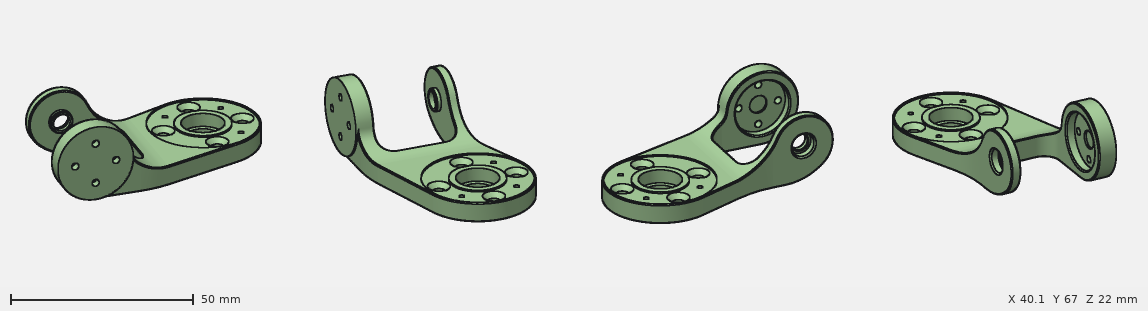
import cadquery as cq
import math


overall_length = 66.95
overall_height = 22.0

flange_radius = 16.0
plate_thickness = 5.8
edge_chamfer = 0.35
left_flank_angle = 21.1
right_flank_angle = 17.2
flank_bend_radius = 30.0

recess_radius = 15.55
recess_depth = 0.5
hub_radius = 8.0
bearing_radius = 6.0
bearing_depth = 3.95
bore_radius = 4.55

bolt_count = 4
bolt_circle_radius = 11.5
bolt_hole_radius = 1.7
countersink_radius = 3.15
countersink_angle = 90
pin_hole_radius = 0.75
pin_angles = (45, 135, 225)

left_ear_outer_x = -7.5
left_ear_thickness = 2.95
right_web_outer_x = 23.6
right_ear_outer_x = 24.05
right_ear_thickness = 5.4
left_ear_inner_x = left_ear_outer_x + left_ear_thickness
right_ear_inner_x = right_ear_outer_x - right_ear_thickness
notch_y = -23.1
notch_corner_radius = 4.5

left_ear_radius = 9.05
right_ear_radius = overall_height / 2
ear_y = flange_radius + right_ear_radius - overall_length
ear_z = right_ear_radius
left_ear_heel_radius = 17.5
rise_start_y = -18.15
rise_radius = 15.0
rise_center = (rise_start_y, plate_thickness + rise_radius)
right_ear_blend_radius = 4.5

boss_radius = 3.3
boss_height = 1.35
boss_chamfer = 0.3
pivot_pocket_radius = 3.35
pivot_pocket_depth = 2.5
pivot_pocket_chamfer = 0.5
pivot_hole_radius = 2.4
pivot_hole_chamfer = 0.3

pocket_radius = 8.2
pocket_depth = 2.75
pocket_chamfer = 0.4
center_hole_radius = 2.6
center_hole_depth = 0.6
ear_hole_count = 4
ear_hole_circle_radius = 5.95
ear_hole_radius = 1.0


def polar(center, radius, angle):
    """Point at an angle in degrees on a circle."""
    turn = math.radians(angle)
    return (center[0] + radius * math.cos(turn), center[1] + radius * math.sin(turn))


def angle_to(start, end):
    """Direction in degrees from one point to another."""
    return math.degrees(math.atan2(end[1] - start[1], end[0] - start[0]))


def arc_to(sketch, center, radius, start_angle, end_angle):
    """Add an arc that begins at the current point of the sketch."""
    middle = polar(center, radius, (start_angle + end_angle) / 2)
    return sketch.threePointArc(middle, polar(center, radius, end_angle))


def flank_start(side, angle):
    """Point where a flank touches the flange; side is -1 for left and 1 for right."""
    return polar((0, 0), flange_radius, angle if side > 0 else 180 + angle)


def flank_corner(start, angle, wall_x):
    """Point where a flank meets the outer wall of an arm."""
    return (wall_x, start[1] - (wall_x - start[0]) / math.tan(math.radians(angle)))


def plan_prism():
    """Outline seen along Z: flange, flanks and the two arms around the notch."""
    left_start = flank_start(-1, left_flank_angle)
    left_corner = flank_corner(left_start, left_flank_angle, left_ear_outer_x)
    right_start = flank_start(1, right_flank_angle)
    right_corner = flank_corner(right_start, right_flank_angle, right_web_outer_x)
    tip_y = ear_y - 2 * right_ear_radius
    height = ear_z + 2 * right_ear_radius
    prism = (
        cq.Workplane("XY")
        .moveTo(*left_start)
        .threePointArc((0, flange_radius), right_start)
        .lineTo(*right_corner)
        .lineTo(right_web_outer_x, tip_y)
        .lineTo(right_ear_inner_x, tip_y)
        .lineTo(right_ear_inner_x, notch_y)
        .lineTo(left_ear_inner_x, notch_y)
        .lineTo(left_ear_inner_x, tip_y)
        .lineTo(left_ear_outer_x, tip_y)
        .lineTo(*left_corner)
        .close()
        .extrude(height)
    )
    rounded = (
        (left_corner, flank_bend_radius),
        (right_corner, flank_bend_radius),
        ((left_ear_inner_x, notch_y), notch_corner_radius),
        ((right_ear_inner_x, notch_y), notch_corner_radius),
    )
    for (x, y), radius in rounded:
        corner = cq.selectors.NearestToPointSelector((x, y, height / 2))
        prism = prism.edges("|Z").edges(corner).fillet(radius)
    return prism


def plate_side():
    """Open start of a side outline: flange end and plate top, up to the rise."""
    return (
        cq.Workplane("YZ")
        .moveTo(flange_radius, 0)
        .lineTo(flange_radius, plate_thickness)
        .lineTo(rise_start_y, plate_thickness)
    )


def left_profile():
    """Side outline (Y, Z) of the plate and the left ear."""
    ear = (ear_y, ear_z)
    heel_y = ear_y + math.sqrt(
        (left_ear_heel_radius - left_ear_radius) ** 2 - (left_ear_heel_radius - ear_z) ** 2
    )
    heel = (heel_y, left_ear_heel_radius)
    rise_end = angle_to(rise_center, ear)
    ear_start = angle_to(ear, rise_center)
    ear_end = angle_to(heel, ear)
    sketch = arc_to(plate_side(), rise_center, rise_radius, -90, rise_end)
    sketch = arc_to(sketch, ear, left_ear_radius, ear_start, ear_end + 360)
    sketch = arc_to(sketch, heel, left_ear_heel_radius, ear_end, -90)
    return sketch.close()


def right_profile():
    """Side outline (Y, Z) of the plate and the right ear."""
    ear = (ear_y, ear_z)
    rise_reach = rise_radius - right_ear_blend_radius
    ear_reach = right_ear_radius + right_ear_blend_radius
    span = math.dist(ear, rise_center)
    offset = math.acos((span**2 + ear_reach**2 - rise_reach**2) / (2 * span * ear_reach))
    blend = polar(ear, ear_reach, angle_to(ear, rise_center) - math.degrees(offset))
    rise_end = angle_to(rise_center, blend)
    ear_start = angle_to(ear, blend)
    sketch = arc_to(plate_side(), rise_center, rise_radius, -90, rise_end)
    sketch = arc_to(sketch, blend, right_ear_blend_radius, rise_end, ear_start - 180)
    sketch = arc_to(sketch, ear, right_ear_radius, ear_start, 270)
    return sketch.close()


def fork_body():
    """Plate with both ears, chamfered all along its outline on both faces."""
    middle_x = (left_ear_inner_x + right_ear_inner_x) / 2
    half_width = 2 * flange_radius
    left = left_profile().extrude(-half_width).translate((middle_x, 0, 0))
    right = right_profile().extrude(half_width).translate((middle_x, 0, 0))
    plan = plan_prism()
    body = plan.intersect(left).union(plan.intersect(right)).clean()
    notch_edges = cq.selectors.BoxSelector(
        (left_ear_inner_x, notch_y - edge_chamfer, -edge_chamfer),
        (right_ear_inner_x, notch_y + edge_chamfer, ear_z),
    )
    outline_edges = body.edges("not(|X or |Z)").add(body.edges(notch_edges).edges("|X"))
    return outline_edges.chamfer(edge_chamfer)


def x_cylinder(radius, start_x, end_x, y=ear_y, z=ear_z):
    """Cylinder along X, by default on the ear axis."""
    return cq.Workplane("YZ", origin=(start_x, y, z)).circle(radius).extrude(end_x - start_x)


def chamfered_pocket(radius, chamfer, mouth_x, depth):
    """Cutter for a round pocket on the ear axis that opens towards -X."""
    mouth = cq.Solid.makeCone(
        radius + chamfer, radius, chamfer, cq.Vector(mouth_x, ear_y, ear_z), cq.Vector(1, 0, 0)
    )
    return x_cylinder(radius, mouth_x, mouth_x + depth).union(cq.Workplane(mouth))


def flange_cuts(part):
    """Recess around the hub, stepped bearing bore, countersunk bolt holes and pin holes."""
    top = cq.Workplane("XY", origin=(0, 0, plate_thickness))
    part = part.cut(top.circle(recess_radius).circle(hub_radius).extrude(-recess_depth))
    part = part.cut(top.circle(bearing_radius).extrude(-bearing_depth))
    part = part.cut(top.circle(bore_radius).extrude(-plate_thickness))

    floor_z = plate_thickness - recess_depth
    floor = cq.Workplane("XY", origin=(0, 0, floor_z))
    cone_height = countersink_radius / math.tan(math.radians(countersink_angle / 2))
    for index in range(bolt_count):
        x, y = polar((0, 0), bolt_circle_radius, index * 360 / bolt_count)
        cone = cq.Solid.makeCone(
            countersink_radius, 0, cone_height, cq.Vector(x, y, floor_z), cq.Vector(0, 0, -1)
        )
        bolt_hole = floor.center(x, y).circle(bolt_hole_radius).extrude(-floor_z)
        part = part.cut(bolt_hole.union(cq.Workplane(cone)))
    pins = [polar((0, 0), bolt_circle_radius, angle) for angle in pin_angles]
    return part.cut(floor.pushPoints(pins).circle(pin_hole_radius).extrude(-floor_z))


def left_ear_pivot(part):
    """Boss on the inner face, pocket in the outer face and a hole joining them."""
    boss_end_x = left_ear_inner_x + boss_height
    boss = x_cylinder(boss_radius, left_ear_inner_x, boss_end_x).faces(">X").chamfer(boss_chamfer)
    pocket = chamfered_pocket(
        pivot_pocket_radius, pivot_pocket_chamfer, left_ear_outer_x, pivot_pocket_depth
    )
    pocket_floor_x = left_ear_outer_x + pivot_pocket_depth
    hole = chamfered_pocket(
        pivot_hole_radius, pivot_hole_chamfer, pocket_floor_x, boss_end_x - pocket_floor_x
    )
    return part.union(boss).cut(pocket).cut(hole)


def right_ear(part):
    """Disc standing proud of the arm, with a pocket, a shallow centre hole and four through holes."""
    disc_start_x = right_ear_inner_x + right_ear_thickness / 2
    floor_x = right_ear_inner_x + pocket_depth
    part = part.union(x_cylinder(right_ear_radius, disc_start_x, right_ear_outer_x))
    part = part.cut(chamfered_pocket(pocket_radius, pocket_chamfer, right_ear_inner_x, pocket_depth))
    part = part.cut(x_cylinder(center_hole_radius, floor_x, floor_x + center_hole_depth))
    for index in range(ear_hole_count):
        y, z = polar((ear_y, ear_z), ear_hole_circle_radius, index * 360 / ear_hole_count)
        part = part.cut(x_cylinder(ear_hole_radius, floor_x, right_ear_outer_x, y, z))
    return part


body = fork_body()
body = flange_cuts(body)
body = left_ear_pivot(body)
result = right_ear(body)